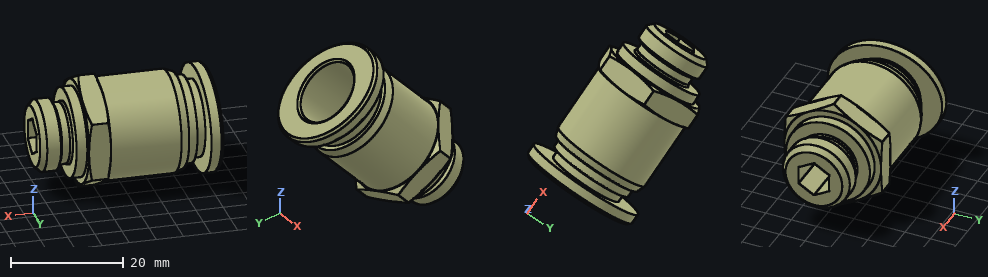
import cadquery as cq
import math

length = 32.4

ring_width = 22.5
ring_height = 19.45
ring_end = 2.33
ring_chamfer = 0.5

sleeve_radius = 7.05
sleeve_end = 4.05
collet_radius = 8.0
collet_end = 5.8
body_radius = 9.4
body_nose_radius = 8.85
body_nose_length = 1.55
shoulder_radius = 8.23
shoulder_end = 26.4
relief_radius = 5.57
relief_end = 28.35
relief_corner = 0.5
relief_corner_rise = 0.2
stud_radius = 6.58
stud_lead_length = 0.5
stud_tip_length = 1.05
stud_tip_radius = relief_radius

nut_across_corners = 21.95
nut_start = 20.38
nut_end = 24.43
nut_chamfer_length = 0.52
nut_face_radius = nut_across_corners / 2 * math.cos(math.pi / 6)

bore_radius = 6.05
bore_mouth_chamfer = 0.42
bore_depth = nut_start
key_across_flats = 6.0
key_across_corners = key_across_flats / math.cos(math.pi / 6)


def revolve_about_x(profile):
    """Revolve a closed list of (x, radius) points about the X axis."""
    return cq.Workplane("XY").polyline(profile).close().revolve(360, (0, 0, 0), (1, 0, 0))


def hexagon_bar(across_corners, start, end):
    """Hexagonal prism along X with two corners on the Z direction."""
    return (
        cq.Workplane("YZ", origin=(start, 0, 0))
        .transformed(rotate=(0, 0, 90))
        .polygon(6, across_corners)
        .extrude(end - start)
    )


def make_ring():
    ring = cq.Workplane("YZ").ellipse(ring_width / 2, ring_height / 2).extrude(ring_end)
    return ring.faces("<X").edges().chamfer(ring_chamfer)


def make_turned_body():
    return revolve_about_x([
        (0, 0),
        (0, sleeve_radius),
        (sleeve_end, sleeve_radius),
        (sleeve_end, collet_radius),
        (collet_end, collet_radius),
        (collet_end, body_nose_radius),
        (collet_end + body_nose_length, body_radius),
        (nut_start, body_radius),
        (nut_start, shoulder_radius),
        (shoulder_end, shoulder_radius),
        (shoulder_end, relief_radius + relief_corner_rise),
        (shoulder_end + relief_corner, relief_radius),
        (relief_end, relief_radius),
        (relief_end + stud_lead_length, stud_radius),
        (length - stud_tip_length, stud_radius),
        (length, stud_tip_radius),
        (length, 0),
    ])


def make_nut():
    corner_radius = nut_across_corners / 2
    chamfer_cones = revolve_about_x([
        (nut_start, 0),
        (nut_start, nut_face_radius),
        (nut_start + nut_chamfer_length, corner_radius),
        (nut_end - nut_chamfer_length, corner_radius),
        (nut_end, nut_face_radius),
        (nut_end, 0),
    ])
    return hexagon_bar(nut_across_corners, nut_start, nut_end).intersect(chamfer_cones)


def make_bore():
    return revolve_about_x([
        (0, 0),
        (0, bore_radius + bore_mouth_chamfer),
        (bore_mouth_chamfer, bore_radius),
        (bore_depth, bore_radius),
        (bore_depth, 0),
    ])


fitting = make_turned_body().union(make_ring()).union(make_nut())
key_passage = hexagon_bar(key_across_corners, 0, length)
result = fitting.cut(make_bore()).cut(key_passage)